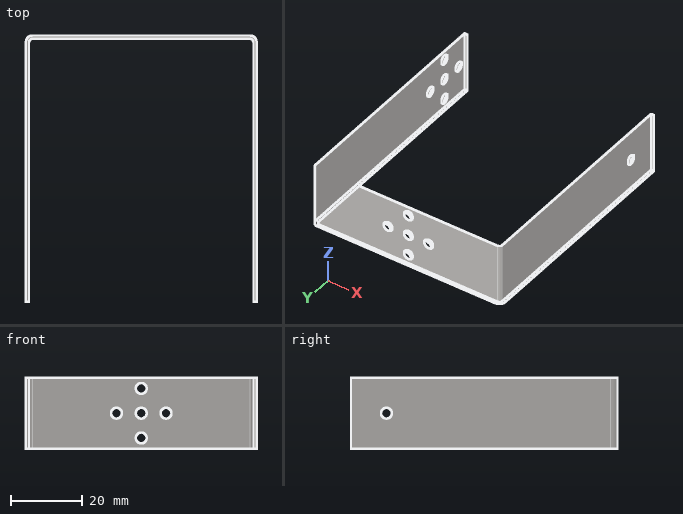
import cadquery as cq

width = 65.0
length = 75.0
height = 20.0
thickness = 1.0

inner_bend_radius = 1.0
outer_bend_radius = inner_bend_radius + thickness

hole_diameter = 3.0
hole_spacing = 7.0
arm_hole_inset = 10.0

back_y = length / 2
arm_hole_y = arm_hole_inset - length / 2
side_x = width / 2
cross_pattern = [
    (0, 0),
    (hole_spacing, 0),
    (-hole_spacing, 0),
    (0, hole_spacing),
    (0, -hole_spacing),
]


def rounded_block(block_width, y_front, y_back, radius):
    """Full-height block with its two back vertical edges rounded."""
    return (
        cq.Workplane("XY")
        .box(block_width, y_back - y_front, height)
        .translate((0, (y_front + y_back) / 2, 0))
        .edges("|Z and >Y")
        .fillet(radius)
    )


def make_strap():
    """Bent strip, open toward -Y."""
    outside = rounded_block(width, -length / 2, back_y, outer_bend_radius)
    inside = rounded_block(
        width - 2 * thickness, -length, back_y - thickness, inner_bend_radius
    )
    return outside.cut(inside)


def make_drills(plane, origin, positions):
    """Cylinders centred on the given plane, long enough to pierce one wall."""
    return (
        cq.Workplane(plane, origin=origin)
        .pushPoints(positions)
        .circle(hole_diameter / 2)
        .extrude(2 * thickness, both=True)
    )


back_drills = make_drills("XZ", (0, back_y, 0), cross_pattern)
left_arm_drills = make_drills("YZ", (-side_x, arm_hole_y, 0), cross_pattern)
right_arm_drill = make_drills("YZ", (side_x, arm_hole_y, 0), [(0, 0)])

result = make_strap().cut(back_drills).cut(left_arm_drills).cut(right_arm_drill)